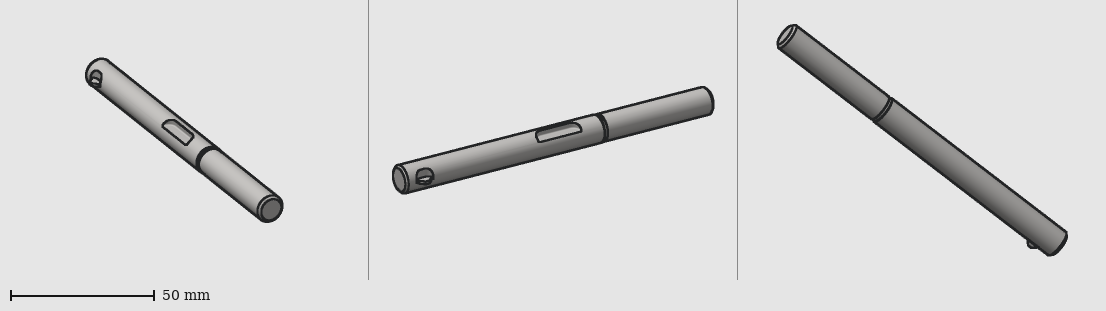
import cadquery as cq

total_length = 125
body_diameter = 10.2
cap_diameter = 10
groove_diameter = 9.6
body_length = 80.4
groove_width = 1.2
body_end_chamfer = 0.9
cap_end_chamfer = 1.0

window_start = 54.0
window_length = 17.5
window_back_y = -0.2
window_floor_z = 2.9
window_corner_radius = 3.0
window_floor_fillet = 0.5

tab_center_x = 7.5
recess_length = 7.5
recess_back_y = -3.5
recess_floor_z = -0.1
recess_corner_radius = 2.9

tab_tip_width = 1.6
tab_reach = 6.9
tab_thickness = 1.1

cutter_front_y = -2 * body_diameter


def cylinder_along_x(start, length, diameter):
    return cq.Workplane("YZ").workplane(offset=start).circle(diameter / 2).extrude(length)


def pocket_cutter(start_x, length, back_y, floor_z, corner_radius):
    """Upright prism with rounded back corners, running out past the -Y side and the top."""
    depth = back_y - cutter_front_y
    height = body_diameter - floor_z
    block = cq.Workplane("XY").box(length, depth, height, centered=False)
    block = block.edges("|Z and >Y").fillet(corner_radius)
    return block.translate((start_x, cutter_front_y, floor_z))


def make_barrel():
    cap_start = body_length + groove_width
    body = cylinder_along_x(0, body_length, body_diameter).faces("<X").chamfer(body_end_chamfer)
    groove = cylinder_along_x(body_length, groove_width, groove_diameter)
    cap = cylinder_along_x(cap_start, total_length - cap_start, cap_diameter)
    cap = cap.faces(">X").chamfer(cap_end_chamfer)
    return body.union(groove).union(cap)


def make_window():
    cutter = pocket_cutter(
        window_start, window_length, window_back_y, window_floor_z, window_corner_radius
    )
    return cutter.faces("<Z").edges("not <Y").fillet(window_floor_fillet)


def make_recess():
    start_x = tab_center_x - recess_length / 2
    return pocket_cutter(
        start_x, recess_length, recess_back_y, recess_floor_z, recess_corner_radius
    )


def make_tab():
    half_tip = tab_tip_width / 2
    half_root = recess_length / 2
    shoulder_y = half_root - half_tip - tab_reach
    outline = [
        (-half_tip, -tab_reach),
        (half_tip, -tab_reach),
        (half_root, shoulder_y),
        (half_root, 0),
        (-half_root, 0),
        (-half_root, shoulder_y),
    ]
    tab = cq.Workplane("XY").polyline(outline).close().extrude(tab_thickness)
    return tab.translate((tab_center_x, 0, -tab_thickness / 2))


result = make_barrel().cut(make_window()).cut(make_recess()).union(make_tab())